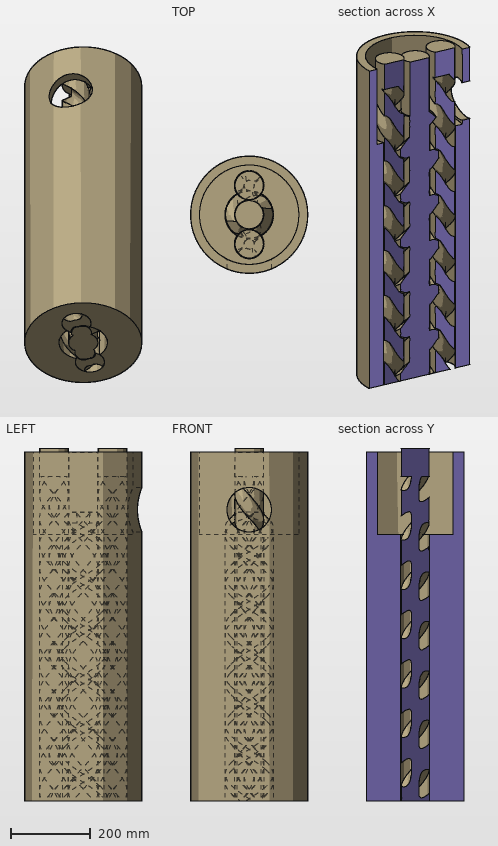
import cadquery as cq
import math

HOUSING_DIAMETER = 295.0
HOUSING_HEIGHT = 877.0
CHAMBER_DIAMETER = 250.0
CHAMBER_FLOOR = 670.0
PORT_DIAMETER = 112.0
PORT_HEIGHT = 732.0

SCREW_SPACING = 73.5
IDLER_RADIUS = 36.0
IDLER_TOP = 886.0
ROTOR_SHAFT_RADIUS = 35.5
ROTOR_TIP_RADIUS = 60.0
ROTOR_TOP = 875.5
IDLER_THREAD_TOP = 815.0
ROTOR_THREAD_TOP = 727.0
ROTOR_TAPER_HEIGHT = 28.0
THREAD_LEAD = 248.0
TOP_LOBE_ANGLE = 71.0
ROTOR_TIP_HALF_ANGLE = 15.0
CLEARANCE = 0.4
BACKLASH_ANGLE = 1.5
FLANK_POINTS = 6
STARTS = 2
IDLER_SIDES = (90, 270)

PITCH_RADIUS = SCREW_SPACING / 2
IDLER_ROOT_RADIUS = SCREW_SPACING - ROTOR_TIP_RADIUS - CLEARANCE
TWIST_PER_UNIT = 360 / THREAD_LEAD
BOTTOM_LOBE_ANGLE = TOP_LOBE_ANGLE - TWIST_PER_UNIT * ROTOR_THREAD_TOP


def polar(radius, degrees):
    angle = math.radians(degrees)
    return radius * math.cos(angle), radius * math.sin(angle)


def flank_angle(radius, tracer_radius):
    """Angle turned about one screw by the flank that a point of its mate traces.

    The two screws turn at equal and opposite speeds. The point lies at tracer_radius on the
    mate and leaves the line of centres where the flank is nearest to the axis.
    """
    spacing = SCREW_SPACING
    turn_cosine = (spacing**2 + tracer_radius**2 - radius**2) / (2 * spacing * tracer_radius)
    turn = math.acos(min(1, turn_cosine))
    bearing = math.atan2(tracer_radius * math.sin(turn), spacing - tracer_radius * math.cos(turn))
    return math.degrees(abs(bearing - turn))


def flank_radii(root, tip):
    return [root + (tip - root) * i / FLANK_POINTS for i in range(FLANK_POINTS + 1)]


def rotor_lobe_flank():
    """(radius, angle from the lobe's middle) from the crest down to the pitch circle."""
    whole = flank_angle(ROTOR_TIP_RADIUS, PITCH_RADIUS)
    radii = reversed(flank_radii(PITCH_RADIUS, ROTOR_TIP_RADIUS))
    return [(r, ROTOR_TIP_HALF_ANGLE + whole - flank_angle(r, PITCH_RADIUS)) for r in radii]


def idler_groove_flank():
    """(radius, angle from the groove's middle) from the root up to the idler's outside."""
    cutter = SCREW_SPACING - IDLER_ROOT_RADIUS
    half_root = ROTOR_TIP_HALF_ANGLE + BACKLASH_ANGLE
    radii = flank_radii(IDLER_ROOT_RADIUS, IDLER_RADIUS)
    return [(r, half_root + flank_angle(r, cutter)) for r in radii]


def two_start_profile(flank, middle_angle):
    """Closed outline: for each start an arc, a flank, an outer or root arc and the next flank."""
    first_radius, first_angle = flank[0]
    last_radius, last_angle = flank[-1]
    step = 360 / STARTS
    start_point = polar(first_radius, middle_angle - first_angle)
    outline = cq.Workplane("XY").moveTo(*start_point)
    for start in range(STARTS):
        middle = middle_angle + start * step
        leading = [polar(r, middle + a) for r, a in flank]
        trailing = [polar(r, middle + step - a) for r, a in reversed(flank)]
        outline = (
            outline.threePointArc(polar(first_radius, middle), leading[0])
            .spline(leading[1:], includeCurrent=True)
            .threePointArc(polar(last_radius, middle + step / 2), trailing[0])
            .spline(trailing[1:], includeCurrent=True)
        )
    return outline.close()


def make_housing():
    body = cq.Workplane("XY").circle(HOUSING_DIAMETER / 2).extrude(HOUSING_HEIGHT)
    chamber = (
        cq.Workplane("XY", origin=(0, 0, CHAMBER_FLOOR))
        .circle(CHAMBER_DIAMETER / 2)
        .extrude(HOUSING_HEIGHT - CHAMBER_FLOOR)
    )
    port = (
        cq.Workplane("XZ", origin=(0, 0, PORT_HEIGHT))
        .circle(PORT_DIAMETER / 2)
        .extrude(HOUSING_DIAMETER / 2)
    )
    rotor_bore = cq.Workplane("XY").circle(ROTOR_TIP_RADIUS + CLEARANCE).extrude(CHAMBER_FLOOR)
    idler_bores = (
        cq.Workplane("XY")
        .pushPoints([polar(SCREW_SPACING, side) for side in IDLER_SIDES])
        .circle(IDLER_RADIUS + CLEARANCE)
        .extrude(CHAMBER_FLOOR)
    )
    return body.cut(chamber).cut(port).cut(rotor_bore).cut(idler_bores)


def shaft(radius, bottom, top):
    return cq.Workplane("XY", origin=(0, 0, bottom)).circle(radius).extrude(top - bottom)


def rotor_thread_envelope():
    """Solid of revolution that tapers the top of the rotor thread down to the shaft."""
    outer_radius = ROTOR_TIP_RADIUS + CLEARANCE
    slope = (ROTOR_TIP_RADIUS - ROTOR_SHAFT_RADIUS) / ROTOR_TAPER_HEIGHT
    taper_height = (outer_radius - ROTOR_SHAFT_RADIUS) / slope
    cylinder_height = ROTOR_THREAD_TOP - taper_height
    outline = [
        (0, 0),
        (outer_radius, 0),
        (outer_radius, cylinder_height),
        (ROTOR_SHAFT_RADIUS, ROTOR_THREAD_TOP),
        (0, ROTOR_THREAD_TOP),
    ]
    return cq.Workplane("XZ").polyline(outline).close().revolve(360, (0, 0, 0), (0, 1, 0))


def make_rotor():
    profile = two_start_profile(rotor_lobe_flank(), BOTTOM_LOBE_ANGLE)
    thread = profile.twistExtrude(ROTOR_THREAD_TOP, TWIST_PER_UNIT * ROTOR_THREAD_TOP)
    tapered_thread = thread.intersect(rotor_thread_envelope())
    return tapered_thread.union(shaft(ROTOR_SHAFT_RADIUS, ROTOR_THREAD_TOP, ROTOR_TOP))


def make_idler(side):
    """Idler with a thread of the opposite hand, in the direction `side` from the rotor."""
    groove_angle = 2 * side - 180 - BOTTOM_LOBE_ANGLE
    profile = two_start_profile(idler_groove_flank(), groove_angle)
    thread = profile.twistExtrude(IDLER_THREAD_TOP, -TWIST_PER_UNIT * IDLER_THREAD_TOP)
    screw = thread.union(shaft(IDLER_RADIUS, IDLER_THREAD_TOP, IDLER_TOP))
    return screw.translate((*polar(SCREW_SPACING, side), 0))


housing = make_housing()
rotor = make_rotor()
idlers = [make_idler(side) for side in IDLER_SIDES]

result = cq.Compound.makeCompound([housing.val(), rotor.val(), *[idler.val() for idler in idlers]])